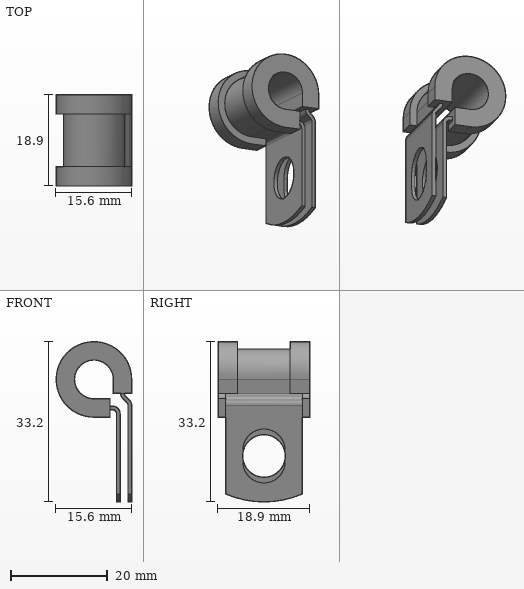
import cadquery as cq
import math

total_height = 33.15
loop_radius = 7.82
bore_radius = 3.98
cushion_width = 18.93
channel_width = 10.85
lower_end_x = 3.35
upper_end_z = -2.9

strap_thickness = 0.8
strap_width = 15.85
strap_radius = 6.3
bend_inner = 0.8
bend_outer = bend_inner + strap_thickness
lower_tab_x = 5.45
upper_tab_x = loop_radius
jog_angle = math.radians(45)

hole_diameter = 8.75
slot_length = 11.15
hole_z = -15.8
tab_bottom_z = loop_radius - total_height
tab_corner_z = -23.67


def extrude_centred(profile, width):
    return profile.extrude(width / 2, both=True)


def open_loop(outer, inner, width):
    """Three-quarter ring with straight ends along +X and -Z."""
    diagonal = math.sqrt(0.5)
    profile = (
        cq.Workplane("XZ")
        .moveTo(lower_end_x, -outer)
        .lineTo(0, -outer)
        .threePointArc((-outer * diagonal, outer * diagonal), (outer, 0))
        .lineTo(outer, upper_end_z)
        .lineTo(inner, upper_end_z)
        .lineTo(inner, 0)
        .threePointArc((-inner * diagonal, inner * diagonal), (0, -inner))
        .lineTo(lower_end_x, -inner)
        .close()
    )
    return extrude_centred(profile, width)


def bend_point(centre, radius, angle):
    return centre[0] + radius * math.cos(angle), centre[1] + radius * math.sin(angle)


def lower_tab():
    """Strap leaving the lower end along +X and bending a quarter turn down."""
    top_z = -(strap_radius - strap_thickness)
    middle = math.radians(45)
    centre = (lower_tab_x - bend_outer, top_z - bend_outer)
    profile = (
        cq.Workplane("XZ")
        .moveTo(lower_end_x, top_z)
        .lineTo(centre[0], top_z)
        .threePointArc(bend_point(centre, bend_outer, middle), (lower_tab_x, centre[1]))
        .lineTo(lower_tab_x, tab_bottom_z)
        .lineTo(lower_tab_x - strap_thickness, tab_bottom_z)
        .lineTo(lower_tab_x - strap_thickness, centre[1])
        .threePointArc(bend_point(centre, bend_inner, middle), (centre[0], -strap_radius))
        .lineTo(lower_end_x, -strap_radius)
        .close()
    )
    return extrude_centred(profile, strap_width)


def upper_tab():
    """Strap leaving the upper end downwards and jogging out to the tab."""
    first = (strap_radius + bend_inner, upper_end_z)
    second_x = upper_tab_x - bend_outer
    slope_x = second_x - first[0] + (bend_inner + bend_outer) * math.cos(jog_angle)
    slope_z = slope_x / math.tan(jog_angle)
    bends_z = (bend_inner + bend_outer) * math.sin(jog_angle)
    second = (second_x, upper_end_z - bends_z - slope_z)
    turn = math.pi + jog_angle
    half_turn = math.pi + jog_angle / 2
    profile = (
        cq.Workplane("XZ")
        .moveTo(strap_radius, upper_end_z)
        .threePointArc(bend_point(first, bend_inner, half_turn), bend_point(first, bend_inner, turn))
        .lineTo(*bend_point(second, bend_outer, jog_angle))
        .threePointArc(bend_point(second, bend_outer, jog_angle / 2), (upper_tab_x, second[1]))
        .lineTo(upper_tab_x, tab_bottom_z)
        .lineTo(upper_tab_x - strap_thickness, tab_bottom_z)
        .lineTo(upper_tab_x - strap_thickness, second[1])
        .threePointArc(bend_point(second, bend_inner, jog_angle / 2), bend_point(second, bend_inner, jog_angle))
        .lineTo(*bend_point(first, bend_outer, turn))
        .threePointArc(
            bend_point(first, bend_outer, half_turn),
            (strap_radius - strap_thickness, upper_end_z),
        )
        .close()
    )
    return extrude_centred(profile, strap_width)


def round_tab_edge(tab):
    """Trim the lower edge of a tab to a shallow arc."""
    half_width = strap_width / 2
    outline = (
        cq.Workplane("YZ")
        .moveTo(-half_width, 0)
        .lineTo(-half_width, tab_corner_z)
        .threePointArc((0, tab_bottom_z), (half_width, tab_corner_z))
        .lineTo(half_width, 0)
        .close()
        .extrude(loop_radius)
    )
    return tab.intersect(outline)


loop = open_loop(strap_radius, bore_radius, channel_width)
flange_width = (cushion_width - channel_width) / 2
for side in (-1, 1):
    flange = open_loop(loop_radius, bore_radius, flange_width)
    loop = loop.union(flange.translate((0, side * (channel_width + flange_width) / 2, 0)))

opening_plane = cq.Workplane("YZ").center(0, hole_z)
screw_hole = opening_plane.circle(hole_diameter / 2).extrude(loop_radius)
screw_slot = opening_plane.slot2D(slot_length, hole_diameter, 90).extrude(loop_radius)

result = (
    loop
    .union(round_tab_edge(lower_tab()).cut(screw_hole))
    .union(round_tab_edge(upper_tab()).cut(screw_slot))
)